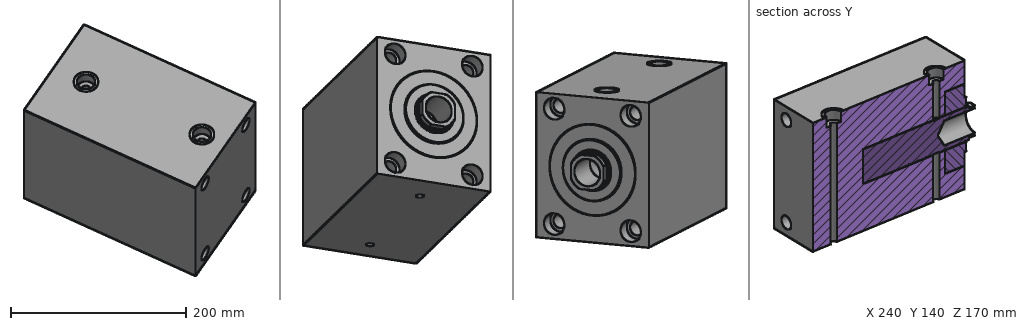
import cadquery as cq
import math


overall_length = 240.0
housing_width = 140.0
housing_height = 170.0
rod_protrusion = 15.0
housing_length = overall_length - rod_protrusion
long_edge_chamfer = 0.5

bolt_spacing_y = 95.0
bolt_spacing_z = 135.0
bolt_hole_diameter = 17.0
bolt_head_diameter = 25.2
bolt_head_depth = 18.0

front_port_x = 42.0
rear_port_inset = 31.0
rear_port_x = housing_length - rear_port_inset
port_spotface_diameter = 28.0
port_spotface_depth = 0.2
port_thread_diameter = 21.0
port_thread_depth = 13.5
port_oil_diameter = 9.0

gland_diameter = 107.0
gland_depth = 28.8
gland_rim_chamfer = 0.7
boss_diameter = 72.5
boss_height = 2.6
boss_chamfer = 1.0
wiper_diameter = 48.0
wiper_depth = 2.0

rod_diameter = 45.0
rod_depth = 150.0
rod_shoulder_step = 0.5
rod_shoulder_chamfer_length = 1.0
tip_length = 8.6
tip_across_flats = 40.0
tip_corner_diameter = rod_diameter - 2 * rod_shoulder_step
rod_socket_diameter = 32.0
rod_socket_depth = 45.0
drill_point_angle = 118.0


def x_cylinder(diameter, start_x, length):
    """Cylinder on the X axis, running in +X from start_x."""
    return cq.Workplane("YZ", origin=(start_x, 0, 0)).circle(diameter / 2).extrude(length)


def bolt_holes():
    corners = cq.Workplane("YZ").rect(bolt_spacing_y, bolt_spacing_z, forConstruction=True).vertices()
    through_holes = corners.circle(bolt_hole_diameter / 2).extrude(housing_length)
    head_recesses = corners.circle(bolt_head_diameter / 2).extrude(bolt_head_depth)
    return through_holes.union(head_recesses)


def port(port_x):
    """Spotfaced oil port, its narrow passage running down through the housing."""
    top = cq.Workplane("XY", origin=(port_x, 0, housing_height / 2))
    spotface = top.circle(port_spotface_diameter / 2).extrude(-port_spotface_depth)
    thread = top.circle(port_thread_diameter / 2).extrude(-port_thread_depth)
    passage = top.circle(port_oil_diameter / 2).extrude(-housing_height)
    return spotface.union(thread).union(passage)


def make_housing():
    body = cq.Workplane("XY").box(housing_length, housing_width, housing_height, centered=(False, True, True))
    body = body.edges("|X").chamfer(long_edge_chamfer)
    body = body.cut(x_cylinder(gland_diameter, 0, gland_depth))
    body = body.cut(x_cylinder(rod_diameter, 0, rod_depth))
    body = body.cut(bolt_holes())
    for port_x in (front_port_x, rear_port_x):
        body = body.cut(port(port_x))
    return body


def make_gland():
    flange = x_cylinder(gland_diameter, 0, gland_depth).faces("<X").chamfer(gland_rim_chamfer)
    boss = x_cylinder(boss_diameter, -boss_height, boss_height).faces("<X").chamfer(boss_chamfer)
    rod_bore = x_cylinder(rod_diameter, -boss_height, boss_height + gland_depth)
    wiper_recess = x_cylinder(wiper_diameter, -boss_height, wiper_depth)
    return flange.union(boss).cut(rod_bore).cut(wiper_recess)


def rod_tip():
    """Round tip with four wrench flats."""
    round_tip = x_cylinder(tip_corner_diameter, -rod_protrusion, tip_length)
    flats = cq.Workplane("YZ", origin=(-rod_protrusion, 0, 0))
    flats = flats.rect(tip_across_flats, tip_across_flats).extrude(tip_length)
    return round_tip.intersect(flats)


def rod_socket():
    """Blind hole in the rod end with a conical drill point."""
    radius = rod_socket_diameter / 2
    point_length = radius / math.tan(math.radians(drill_point_angle / 2))
    half_profile = (
        cq.Workplane("XY", origin=(-rod_protrusion, 0, 0))
        .lineTo(0, radius)
        .lineTo(rod_socket_depth, radius)
        .lineTo(rod_socket_depth + point_length, 0)
        .close()
    )
    return half_profile.revolve(360, (0, 0, 0), (1, 0, 0))


def make_rod():
    shoulder_x = tip_length - rod_protrusion
    shaft = x_cylinder(rod_diameter, shoulder_x, rod_depth - shoulder_x)
    shaft = shaft.faces("<X").chamfer(rod_shoulder_chamfer_length, rod_shoulder_step)
    return shaft.union(rod_tip()).cut(rod_socket())


housing = make_housing()
gland = make_gland()
rod = make_rod()
result = cq.Compound.makeCompound([housing.val(), gland.val(), rod.val()])